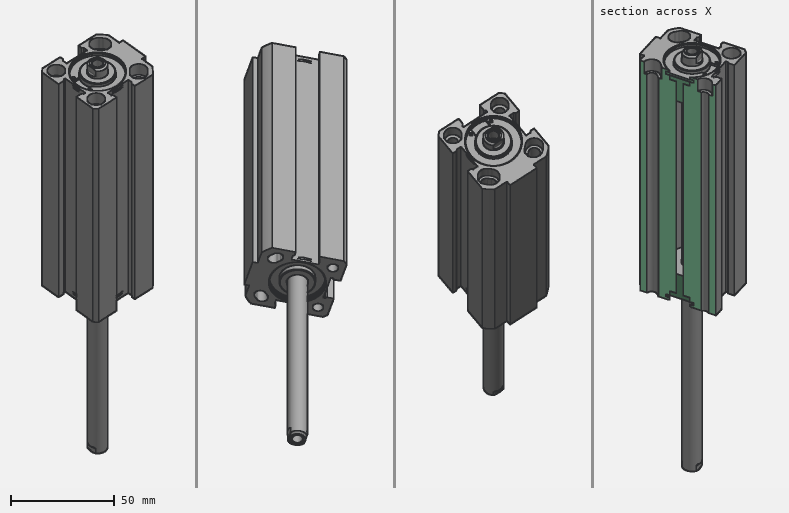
import cadquery as cq
import math

total_length = 251.5
rod_top = 5.5
rod_bottom = rod_top - total_length
housing_length = 139.3

housing_width = 40.0
housing_depth = 44.5
half_width = housing_width / 2
front_y = -half_width
rail_y = front_y + housing_depth
rail_height = 2.5
back_y = rail_y - rail_height
rail_half_width = 8.0
corner_radius = 27.0

bore_diameter = 25.0
mouth_diameter = 27.0
groove_diameter = 29.0
mouth_chamfer = 0.5
groove_depth = 1.8
ring_thickness = 1.3
seat_depth = groove_depth + ring_thickness

groove_wall = 0.13
side_floor = groove_diameter / 2 + groove_wall
front_floor = 14.8
slot_undercut = 0.8
front_slot_half_width = 6.3
side_slot_half_width = 6.0
side_lip_inner = 17.9
front_lip_inner = 16.5

front_hole_x = 14.0
front_hole_y = -14.0
back_hole_x = 13.5
back_hole_y = 14.5
front_hole_diameter = 5.3
back_hole_diameter = 5.8
counterbore_diameter = 8.8
counterbore_depth = 7.0
back_hole_stretch = 2.0

collar_length = 17.5
flange_thickness = 2.5
flange_base = -seat_depth - flange_thickness
boss_diameter = 17.5
boss_chamfer = 0.38
collar_hole_diameter = 10.5

ring_inner_diameter = 18.0
ring_gap = 9.0
lug_hole_diameter = 1.6
lug_hole_x = 6.0
lug_hole_y = -10.3

rod_diameter = 10.0
rod_chamfer_width = 1.3
rod_chamfer_height = 0.88
across_flats = 8.0
flat_length = 4.5
flat_end_radius = 0.8
tap_diameter = 5.3
tap_mouth_diameter = 5.8
tap_depth = 7.5
drill_diameter = 4.0
drill_depth = 10.0
drill_tip_angle = 118.0


def cylinder(diameter, z_low, z_high):
    plane = cq.Workplane("XY").workplane(offset=z_low)
    return plane.circle(diameter / 2).extrude(z_high - z_low)


def cone(diameter_low, diameter_high, z_low, z_high):
    solid = cq.Solid.makeCone(diameter_low / 2, diameter_high / 2, z_high - z_low, cq.Vector(0, 0, z_low))
    return cq.Workplane(obj=solid)


def lower_end(shape):
    """Mirror a shape from the upper end of the housing to the lower end."""
    return shape.mirror("XY").translate((0, 0, -housing_length))


def sensor_slot(lip_half_width, floor, lip_inner, mouth, angle):
    """Slot open towards -Y, undercut behind its lips, then turned about Z."""
    wide = lip_half_width + slot_undercut
    half = [
        (wide, -floor),
        (wide, -lip_inner + slot_undercut),
        (lip_half_width, -lip_inner),
        (lip_half_width, -mouth),
    ]
    outline = half + [(-x, y) for x, y in reversed(half)]
    slot = cq.Workplane("XY").polyline(outline).close().extrude(-housing_length)
    return slot.rotate((0, 0, 0), (0, 0, 1), angle)


def housing_block():
    block = cq.Workplane("XY").center(0, (front_y + back_y) / 2)
    block = block.rect(housing_width, back_y - front_y).extrude(-housing_length)
    block = block.intersect(cylinder(2 * corner_radius, -housing_length, 0))
    rail = cq.Workplane("XY").center(0, rail_y / 2).rect(2 * rail_half_width, rail_y).extrude(-housing_length)
    return block.union(rail)


def mount_hole(diameter, x, y, stretch):
    """Through hole and counterbore, drawn out tangentially around the bore by `stretch`."""
    angle = math.degrees(math.atan2(y, x)) + 90

    def step(width, depth):
        if stretch:
            return cq.Workplane("XY").slot2D(width + stretch, width, angle).extrude(-depth)
        return cylinder(width, -depth, 0)

    hole = step(diameter, housing_length).union(step(counterbore_diameter, counterbore_depth))
    return hole.translate((x, y, 0))


def ring_seat():
    seat = cylinder(mouth_diameter, flange_base, 0)
    seat = seat.union(cone(mouth_diameter, mouth_diameter + 2 * mouth_chamfer, -mouth_chamfer, 0))
    return seat.union(cylinder(groove_diameter, -seat_depth, -groove_depth))


def make_housing():
    housing = housing_block()
    housing = housing.cut(sensor_slot(front_slot_half_width, front_floor, front_lip_inner, -front_y, 0))
    for angle in (-90, 90):
        housing = housing.cut(sensor_slot(side_slot_half_width, side_floor, side_lip_inner, half_width, angle))
    housing = housing.cut(cylinder(bore_diameter, -housing_length, 0))
    housing = housing.cut(ring_seat()).cut(lower_end(ring_seat()))
    for side in (-1, 1):
        front_hole = mount_hole(front_hole_diameter, side * front_hole_x, front_hole_y, 0)
        back_hole = mount_hole(back_hole_diameter, side * back_hole_x, back_hole_y, back_hole_stretch)
        housing = housing.cut(front_hole).cut(back_hole)
    return housing


def make_collar():
    plug = cylinder(bore_diameter, -collar_length, -seat_depth)
    flange = cylinder(mouth_diameter, flange_base, -seat_depth)
    boss = cylinder(boss_diameter, -collar_length, 0).faces(">Z").chamfer(boss_chamfer)
    return plug.union(flange).union(boss).cut(cylinder(collar_hole_diameter, -collar_length, 0))


def make_ring():
    ring = cylinder(groove_diameter, -seat_depth, -groove_depth)
    ring = ring.cut(cylinder(ring_inner_diameter, -seat_depth, -groove_depth))
    gap = cq.Workplane("XY").center(0, -groove_diameter / 2).rect(ring_gap, groove_diameter).extrude(-seat_depth)
    ring = ring.cut(gap)
    for x in (-lug_hole_x, lug_hole_x):
        ring = ring.cut(cylinder(lug_hole_diameter, -seat_depth, 0).translate((x, lug_hole_y, 0)))
    return ring


def flat_cutter():
    """Block that cuts the flat on the -Y side of the rod's upper end."""
    cutter = cq.Workplane("XY").box(rod_diameter, rod_diameter, flat_length, centered=(True, False, False))
    cutter = cutter.faces("<Z").edges(">Y").fillet(flat_end_radius)
    return cutter.translate((0, -across_flats / 2 - rod_diameter, rod_top - flat_length))


def tapped_hole():
    tip_length = drill_diameter / 2 / math.tan(math.radians(drill_tip_angle / 2))
    lead = (tap_mouth_diameter - tap_diameter) / 2
    hole = cylinder(tap_diameter, -tap_depth, 0)
    hole = hole.union(cone(tap_diameter, tap_mouth_diameter, -lead, 0))
    hole = hole.union(cylinder(drill_diameter, -drill_depth, 0))
    hole = hole.union(cone(0, drill_diameter, -drill_depth - tip_length, -drill_depth))
    return hole.translate((0, 0, rod_top))


def make_rod():
    end_diameter = rod_diameter - 2 * rod_chamfer_width
    rod = cylinder(rod_diameter, rod_bottom + rod_chamfer_height, rod_top - rod_chamfer_height)
    rod = rod.union(cone(rod_diameter, end_diameter, rod_top - rod_chamfer_height, rod_top))
    rod = rod.union(cone(end_diameter, rod_diameter, rod_bottom, rod_bottom + rod_chamfer_height))
    middle = (0, 0, (rod_top + rod_bottom) / 2)
    for cutter in (flat_cutter(), flat_cutter().mirror("XZ")):
        rod = rod.cut(cutter).cut(cutter.mirror("XY", middle))
    hole = tapped_hole()
    return rod.cut(hole).cut(hole.mirror("XY", middle))


housing = make_housing()
upper_collar = make_collar()
lower_collar = lower_end(make_collar())
retaining_ring = make_ring()
piston_rod = make_rod()

result = cq.Compound.makeCompound([
    housing.val(),
    upper_collar.val(),
    lower_collar.val(),
    retaining_ring.val(),
    piston_rod.val(),
])